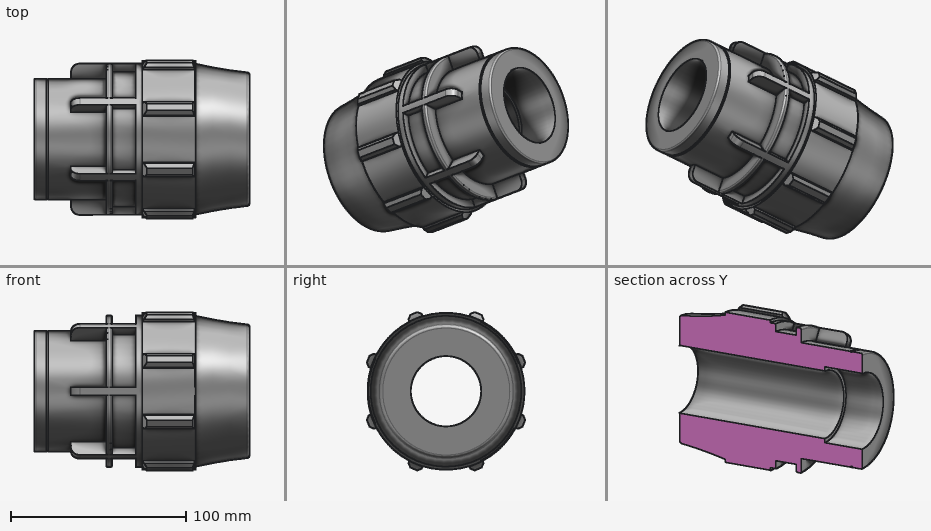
import cadquery as cq
TOTAL_LENGTH = 123.0

BORE_RADIUS = 40.0 / 2
MOUTH_RADIUS = 44.84 / 2
MOUTH_DEPTH = 25.0

SPIGOT_RADIUS = 69.12 / 2
EDGE_FILLET = 1.0
GROOVE_CENTER = 7.5
GROOVE_RADIUS = 0.5

RING_RADIUS = 86.4 / 2
RING_START = 41.0
RING_WIDTH = 3.5
NECK_RADIUS = 38.5
FLANGE_START = 58.0

FIN_COUNT = 6
FIN_START = 21.0
FIN_WIDTH = 4.5
FIN_FILLET = 5.0

NUT_START = 61.7
NUT_END = 92.2
NUT_RADIUS = 44.8
NUT_FILLET = 0.5

GRIP_COUNT = 8
GRIP_HEIGHT = 48.0
GRIP_TOP_HALF_WIDTH = 2.14
GRIP_CHAMFER = 2.0
GRIP_HALF_WIDTH = GRIP_TOP_HALF_WIDTH + GRIP_CHAMFER
GRIP_FRONT_RAMP = 2.5
GRIP_REAR_RAMP = 1.3

TAIL_START_RADIUS = 43.0
TAIL_MIDDLE_RADIUS = 40.0
TAIL_END_RADIUS = 38.0
TAIL_FILLET = 2.0


def cylinder(start, end, radius):
    """Solid cylinder about the X axis."""
    return cq.Workplane("YZ", origin=(start, 0, 0)).circle(radius).extrude(end - start)


def spigot():
    body = cylinder(0, FLANGE_START, SPIGOT_RADIUS).faces("<X").edges().fillet(EDGE_FILLET)
    groove = cq.Workplane("XY").add(
        cq.Solid.makeTorus(SPIGOT_RADIUS, GROOVE_RADIUS, cq.Vector(GROOVE_CENTER, 0, 0), cq.Vector(1, 0, 0))
    )
    return body.cut(groove)


def ring_and_flange():
    ring = cylinder(RING_START, RING_START + RING_WIDTH, RING_RADIUS).edges().fillet(EDGE_FILLET)
    neck = cylinder(RING_START + RING_WIDTH / 2, NUT_START, NECK_RADIUS)
    flange = cylinder(FLANGE_START, NUT_START, RING_RADIUS)
    return neck.union(ring).union(flange)


def fins():
    """Radial fins cut from a round-edged disc, so their tops are flush with the ring."""
    length = NUT_START - FIN_START
    slab = cq.Workplane("XY", origin=(FIN_START, 0, 0)).box(
        length, RING_RADIUS, FIN_WIDTH, centered=(False, False, True)
    )
    pattern = cq.Workplane("XY")
    for index in range(FIN_COUNT):
        pattern = pattern.union(slab.rotate((0, 0, 0), (1, 0, 0), index * 360 / FIN_COUNT))
    envelope = cylinder(FIN_START, NUT_START, RING_RADIUS).faces("<X").edges().fillet(FIN_FILLET)
    return pattern.intersect(envelope)


def grip_rib():
    """One grip rib pointing along +Z: chamfered cross-section with ramped ends."""
    shoulder = GRIP_HEIGHT - GRIP_CHAMFER
    section = (
        cq.Workplane("YZ", origin=(NUT_START, 0, 0))
        .moveTo(-GRIP_HALF_WIDTH, SPIGOT_RADIUS)
        .lineTo(-GRIP_HALF_WIDTH, shoulder)
        .lineTo(-GRIP_TOP_HALF_WIDTH, GRIP_HEIGHT)
        .lineTo(GRIP_TOP_HALF_WIDTH, GRIP_HEIGHT)
        .lineTo(GRIP_HALF_WIDTH, shoulder)
        .lineTo(GRIP_HALF_WIDTH, SPIGOT_RADIUS)
        .close()
        .extrude(NUT_END - NUT_FILLET - NUT_START)
    )
    rear = NUT_END - NUT_FILLET
    side = (
        cq.Workplane("XZ")
        .moveTo(NUT_START, SPIGOT_RADIUS)
        .lineTo(NUT_START, NUT_RADIUS)
        .lineTo(NUT_START + GRIP_FRONT_RAMP, GRIP_HEIGHT)
        .lineTo(rear - GRIP_REAR_RAMP, GRIP_HEIGHT)
        .lineTo(rear, NUT_RADIUS)
        .lineTo(rear, SPIGOT_RADIUS)
        .close()
        .extrude(GRIP_HALF_WIDTH, both=True)
    )
    return section.intersect(side)


def nut():
    body = cylinder(NUT_START, NUT_END, NUT_RADIUS).faces(">X").edges().fillet(NUT_FILLET)
    rib = grip_rib()
    pitch = 360 / GRIP_COUNT
    for index in range(GRIP_COUNT):
        body = body.union(rib.rotate((0, 0, 0), (1, 0, 0), (index + 0.5) * pitch))
    return body


def tail():
    flank_end = TOTAL_LENGTH
    flank_middle = (NUT_END + flank_end) / 2
    return (
        cq.Workplane("XY")
        .moveTo(NUT_END, 0)
        .lineTo(NUT_END, TAIL_START_RADIUS)
        .threePointArc((flank_middle, TAIL_MIDDLE_RADIUS), (flank_end, TAIL_END_RADIUS))
        .lineTo(flank_end, 0)
        .close()
        .revolve(360, (0, 0, 0), (1, 0, 0))
        .faces(">X")
        .edges()
        .fillet(TAIL_FILLET)
    )


def bore():
    return cylinder(0, TOTAL_LENGTH, BORE_RADIUS).union(cylinder(0, MOUTH_DEPTH, MOUTH_RADIUS))


result = spigot().union(ring_and_flange()).union(fins()).union(nut()).union(tail()).cut(bore())